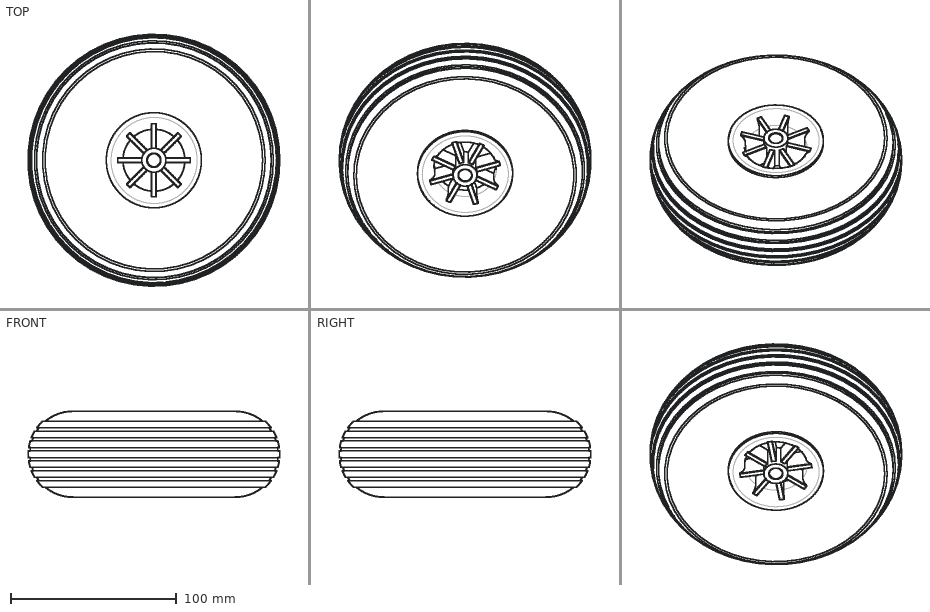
import cadquery as cq
import math

outer_radius = 76.0
tread_height = 1.0
section_radius = 26.0
ring_radius = outer_radius - tread_height - section_radius
tread_radius = section_radius + tread_height
tread_count = 7
tread_span = 40.0
groove_width = 2.0
tread_pitch = (tread_span + groove_width) / tread_count
tread_width = tread_pitch - groove_width

rim_radius = 28.7
rim_height = 18.0
web_edge_radius = 18.7
throat_radius = 18.9
flare_radius = 7.1
rim_opening_radius = throat_radius + flare_radius
web_thickness = 6.1
boss_radius = 7.3
boss_height = 19.9
bore_radius = 4.0
spoke_count = 8
spoke_width = 3.0
spoke_reach = 21.9
spoke_height = 16.9
edge_chamfer = 0.3


def tyre_reach(radius, z):
    """Outward distance from the section centre to a section circle at height z."""
    return ring_radius + math.sqrt(radius**2 - z**2)


def seat_height(radius):
    """Height of the tyre surface at a given distance from the axis."""
    return math.sqrt(section_radius**2 - (ring_radius - radius) ** 2)


def tyre_torus():
    """Smooth ring that carries the tread."""
    return cq.Workplane("XZ").center(ring_radius, 0).circle(section_radius).revolve(
        360, (-ring_radius, 0, 0), (-ring_radius, 1, 0)
    )


def tread_band(z_middle):
    """Raised band with flat flanks that follows the curve of the tyre."""
    low = z_middle - tread_width / 2
    high = z_middle + tread_width / 2
    return (
        cq.Workplane("XZ")
        .moveTo(ring_radius, low)
        .lineTo(tyre_reach(tread_radius, low), low)
        .threePointArc(
            (tyre_reach(tread_radius, z_middle), z_middle),
            (tyre_reach(tread_radius, high), high),
        )
        .lineTo(ring_radius, high)
        .close()
        .revolve(360, (0, 0, 0), (0, 1, 0))
    )


def make_tyre():
    tyre = tyre_torus()
    lowest_middle = (tread_width - tread_span) / 2
    for index in range(tread_count):
        tyre = tyre.union(tread_band(lowest_middle + index * tread_pitch))
    return tyre


def hub_recess():
    """Space above the web: a slightly conical throat that flares out to the flat rim."""
    shoulder = rim_height - flare_radius
    flare_middle = flare_radius * math.sqrt(0.5)
    return (
        cq.Workplane("XZ")
        .moveTo(0, web_thickness / 2)
        .lineTo(web_edge_radius, web_thickness / 2)
        .lineTo(throat_radius, shoulder)
        .threePointArc(
            (rim_opening_radius - flare_middle, shoulder + flare_middle),
            (rim_opening_radius, rim_height),
        )
        .lineTo(0, rim_height)
        .close()
        .revolve(360, (0, 0, 0), (0, 1, 0))
    )


def hub_blank():
    """Solid plug that fills the tyre opening and ends in straight rim edges."""
    seat = seat_height(rim_radius)
    return (
        cq.Workplane("XZ")
        .moveTo(0, -rim_height)
        .lineTo(rim_radius, -rim_height)
        .lineTo(rim_radius, -seat)
        .threePointArc((ring_radius - section_radius, 0), (rim_radius, seat))
        .lineTo(rim_radius, rim_height)
        .lineTo(0, rim_height)
        .close()
        .revolve(360, (0, 0, 0), (0, 1, 0))
    )


def spoke(angle):
    """Radial rib from the axis into the flare, with chamfered long edges."""
    return (
        cq.Workplane("XY")
        .box(spoke_reach, spoke_width, 2 * spoke_height, centered=(False, True, True))
        .edges("|X")
        .chamfer(edge_chamfer)
        .rotate((0, 0, 0), (0, 0, 1), angle)
    )


def bore():
    """Axle hole with a chamfered mouth at both ends."""
    mouth_radius = bore_radius + edge_chamfer
    cylinder_end = boss_height - edge_chamfer
    return (
        cq.Workplane("XZ")
        .polyline([
            (0, -boss_height),
            (mouth_radius, -boss_height),
            (bore_radius, -cylinder_end),
            (bore_radius, cylinder_end),
            (mouth_radius, boss_height),
            (0, boss_height),
        ])
        .close()
        .revolve(360, (0, 0, 0), (0, 1, 0))
    )


def make_hub():
    recess = hub_recess()
    hub = hub_blank().cut(recess).cut(recess.mirror("XY"))
    for index in range(spoke_count):
        hub = hub.union(spoke(index * 360 / spoke_count))
    boss = cq.Workplane("XY").circle(boss_radius).extrude(boss_height, both=True)
    return hub.union(boss).cut(bore())


tyre = make_tyre()
hub = make_hub()
result = cq.Compound.makeCompound([tyre.solids().val(), hub.solids().val()])